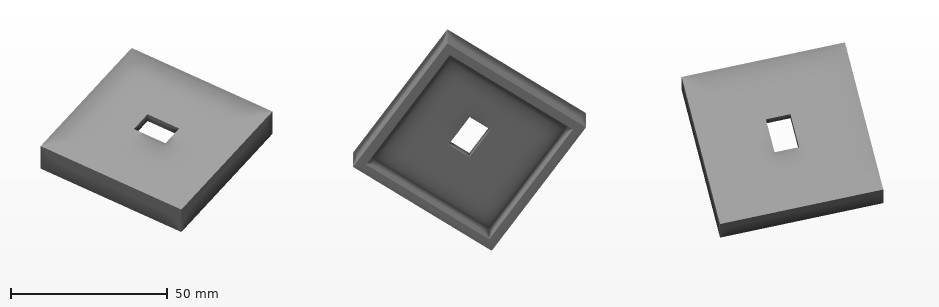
import cadquery as cq

plate_side = 53.5
plate_height = 10.0

window_length = 12.0
window_width = 8.0

top_thickness = 3.0
rim_thickness = 3.0

recess_side = plate_side - 2 * rim_thickness
recess_depth = plate_height - top_thickness

plate = cq.Workplane("XY").box(plate_side, plate_side, plate_height, centered=(True, True, False))
recess = cq.Workplane("XY").box(recess_side, recess_side, recess_depth, centered=(True, True, False))
window = cq.Workplane("XY").box(window_length, window_width, plate_height, centered=(True, True, False))

result = plate.cut(recess).cut(window)